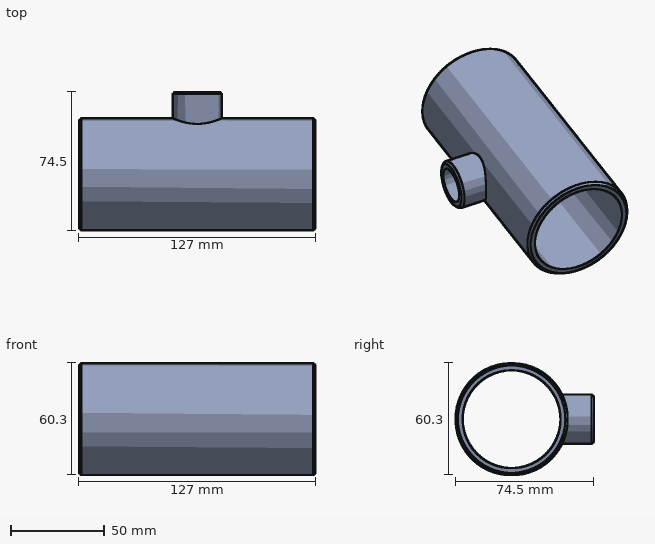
import cadquery as cq

run_length = 127.0
run_diameter = 60.3
wall = 4.0

branch_diameter = 26.5
branch_reach = 44.3

bevel = 1.3


def rod(direction, diameter, length):
    """Solid cylinder from the origin along a direction."""
    return cq.Workplane(cq.Plane((0, 0, 0), normal=direction)).circle(diameter / 2).extrude(length)


def run_body():
    """Solid run with both end rims beveled."""
    half = rod((1, 0, 0), run_diameter, run_length / 2).faces(">X").chamfer(bevel)
    return half.union(half.mirror("YZ"))


def branch_body():
    """Solid branch with its end rim beveled."""
    return rod((0, 1, 0), branch_diameter, branch_reach).faces(">Y").chamfer(bevel)


def bores():
    """Passages through the run and the branch, leaving the same wall in both."""
    half = rod((1, 0, 0), run_diameter - 2 * wall, run_length / 2)
    branch = rod((0, 1, 0), branch_diameter - 2 * wall, branch_reach)
    return half.union(half.mirror("YZ")).union(branch)


result = run_body().union(branch_body()).cut(bores())